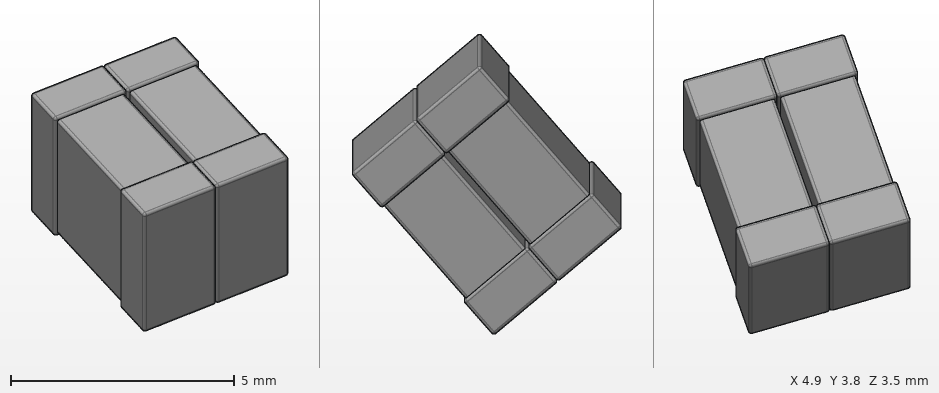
import cadquery as cq

LENGTH = 4.9
WIDTH = 3.8
HEIGHT = 3.5
CHIP_COUNT = 2

TERMINAL_LENGTH = 1.05
TERMINAL_FILLET = 0.07
CORE_INSET = 0.07
CORE_FILLET = 0.07

CHIP_WIDTH = WIDTH / CHIP_COUNT
CORE_LENGTH = LENGTH - 2 * TERMINAL_LENGTH
CORE_WIDTH = CHIP_WIDTH - 2 * CORE_INSET
CORE_HEIGHT = HEIGHT - 2 * CORE_INSET

CHIP_CENTERS_Y = [(i - (CHIP_COUNT - 1) / 2) * CHIP_WIDTH for i in range(CHIP_COUNT)]
TERMINAL_CENTER_X = (LENGTH - TERMINAL_LENGTH) / 2


def make_core(center_y):
    """Core block between the terminals, rounded along its four long edges."""
    block = cq.Workplane("XY").box(CORE_LENGTH, CORE_WIDTH, CORE_HEIGHT)
    return block.edges("|X").fillet(CORE_FILLET).translate((0, center_y, 0))


def make_end_cap(center_x, center_y):
    """Block with all edges rounded that covers one end of one chip."""
    block = cq.Workplane("XY").box(TERMINAL_LENGTH, CHIP_WIDTH, HEIGHT)
    return block.edges().fillet(TERMINAL_FILLET).translate((center_x, center_y, 0))


def make_terminal(center_x):
    """One terminal: the end caps of all chips joined, with a groove left where their rounds meet."""
    terminal = make_end_cap(center_x, CHIP_CENTERS_Y[0])
    for center_y in CHIP_CENTERS_Y[1:]:
        terminal = terminal.union(make_end_cap(center_x, center_y))
    return terminal


cores = [make_core(center_y) for center_y in CHIP_CENTERS_Y]
terminals = [make_terminal(center_x) for center_x in (-TERMINAL_CENTER_X, TERMINAL_CENTER_X)]

result = cq.Compound.makeCompound([body.solids().val() for body in cores + terminals])